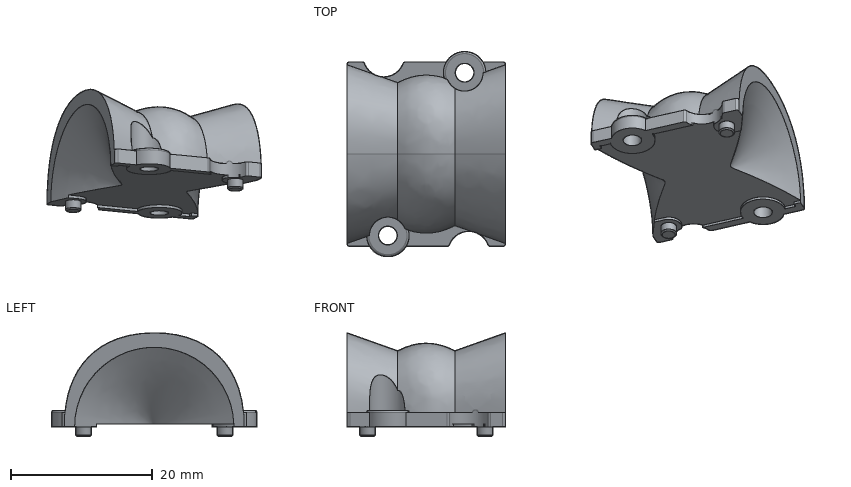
import cadquery as cq

length = 22.4
plate_width = 26.08
plate_height = 2.05
corner_radius = 0.4

spring_height = 0.4
neck_x = 4.03
end_rise = 12.9
neck_rise = 10.35
bulge_rise = 11.43
width_ratio = 0.984
side_fullness = 0.58
top_fullness = 0.66

mouth_radius = 11.25
mouth_tip_x = 4.7
mouth_mid_x = 8.4

ear_x = -5.42
ear_y = -11.5
ear_radius = 3.0
ear_height = 2.35
ear_edge_fillet = 0.3
screw_clearance_radius = 2.6
screw_hole_radius = 1.3
notch_x = 6.0
notch_y = -13.82
notch_radius = 2.9
notch_edge_radius = 0.4

recess_depth = 0.4
end_lip = 1.0
ear_pad_radius = 3.2
pin_pad_radius = 1.85
pin_x = 8.3
pin_y = -10.0
pin_radius = 1.12
pin_length = 1.35
pin_chamfer = 0.2

half_length = length / 2
recess_width = 2 * (pin_pad_radius - pin_y)
shell_top = spring_height + end_rise


def half_turn_pair(x, y):
    """The given point and its image half a turn about Z."""
    return [(x, y), (-x, -y)]


ear_points = half_turn_pair(ear_x, ear_y)
notch_points = half_turn_pair(notch_x, notch_y)
pin_points = half_turn_pair(pin_x, pin_y)


def cylinders(points, radius, bottom, top):
    """Upright cylinders at the given points."""
    return cq.Workplane("XY").workplane(offset=bottom).pushPoints(points).circle(radius).extrude(top - bottom)


def shell_section(x, rise):
    """Closed arch outline across the part at x, made of two Bezier quarters."""
    half_width = rise * width_ratio
    top = spring_height + rise
    handle_z = spring_height + rise * side_fullness
    handle_y = half_width * top_fullness
    outline = (
        cq.Workplane("YZ", origin=(x, 0, 0))
        .moveTo(-half_width, 0)
        .lineTo(-half_width, spring_height)
        .bezier([(-half_width, spring_height), (-half_width, handle_z), (-handle_y, top), (0, top)])
        .bezier([(0, top), (handle_y, top), (half_width, handle_z), (half_width, spring_height)])
        .lineTo(half_width, 0)
        .close()
    )
    return outline.val()


def make_shell():
    left_end = shell_section(-half_length, end_rise)
    left_neck = shell_section(-neck_x, neck_rise)
    middle = shell_section(0, bulge_rise)
    right_neck = shell_section(neck_x, neck_rise)
    right_end = shell_section(half_length, end_rise)
    left_cone = cq.Solid.makeLoft([left_end, left_neck], True)
    bulge = cq.Solid.makeLoft([left_neck, middle, right_neck])
    right_cone = cq.Solid.makeLoft([right_neck, right_end], True)
    return cq.Workplane(left_cone).union(cq.Workplane(bulge)).union(cq.Workplane(right_cone))


def make_plate():
    """Base plate with its edge notches cut and their corners rounded."""
    plate = cq.Workplane("XY").rect(length, plate_width).extrude(plate_height)
    plate = plate.edges("|Z").fillet(corner_radius)
    plate = plate.cut(cylinders(notch_points, notch_radius, 0, plate_height))
    corner_offset = (notch_radius**2 - (plate_width / 2 + notch_y) ** 2) ** 0.5
    for sign in (-1, 1):
        for x, y in half_turn_pair(notch_x + sign * corner_offset, -plate_width / 2):
            corner = cq.selectors.NearestToPointSelector((x, y, plate_height / 2))
            plate = plate.edges(corner).fillet(notch_edge_radius)
    return plate


def make_mouth():
    """Void opening toward -X."""
    return (
        cq.Workplane("XZ")
        .moveTo(-mouth_tip_x, 0)
        .threePointArc((-mouth_mid_x, mouth_radius / 2), (-half_length, mouth_radius))
        .lineTo(-half_length, 0)
        .close()
        .revolve(360, (0, 0, 0), (1, 0, 0))
    )


def make_recess():
    """Shallow void under the part, leaving pads around the ears and the pins.

    The pin pads run on to the ends of the part.
    """
    inner = cq.Workplane("XY").rect(length - 2 * end_lip, recess_width).extrude(recess_depth)
    through = cq.Workplane("XY").rect(length, 2 * mouth_radius).extrude(recess_depth)
    ear_pads = cylinders(ear_points, ear_pad_radius, 0, recess_depth)
    pin_pads = cylinders(pin_points, pin_pad_radius, 0, recess_depth)
    pad_centers = half_turn_pair((pin_x + half_length) / 2, pin_y)
    pad_extensions = (
        cq.Workplane("XY")
        .pushPoints(pad_centers)
        .rect(half_length - pin_x, 2 * pin_pad_radius)
        .extrude(recess_depth)
    )
    return inner.union(through).cut(ear_pads).cut(pin_pads).cut(pad_extensions)


def make_ears():
    ears = cylinders(ear_points, ear_radius, 0, ear_height)
    return ears.faces(">Z").edges().fillet(ear_edge_fillet)


def make_pins():
    pins = cylinders(pin_points, pin_radius, -pin_length, recess_depth)
    return pins.faces("<Z").edges().chamfer(pin_chamfer)


screw_clearance = cylinders(ear_points, screw_clearance_radius, ear_height, shell_top)
screw_holes = cylinders(ear_points, screw_hole_radius, 0, ear_height)
notches = cylinders(notch_points, notch_radius, 0, shell_top)
mouth = make_mouth()

result = make_shell().cut(notches).union(make_plate()).union(make_ears())
result = result.cut(screw_clearance).cut(screw_holes)
result = result.cut(mouth).cut(mouth.mirror("YZ"))
result = result.cut(make_recess()).union(make_pins())